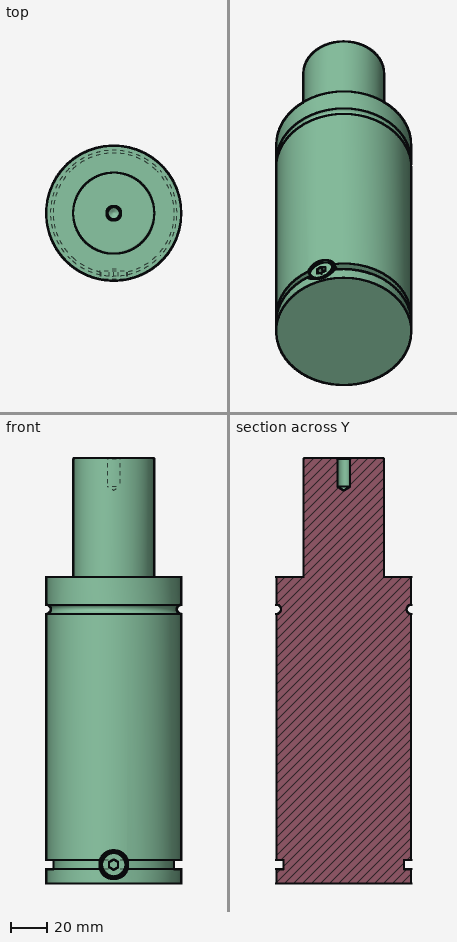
import cadquery as cq
import math

body_diameter = 75.0
body_height = 170.0
body_radius = body_diameter / 2

round_groove_radius = 2.5
round_groove_setback = 18.0
round_groove_z = body_height - round_groove_setback

square_groove_width = 5.0
square_groove_depth = 4.0
square_groove_z = 10.5

rod_diameter = 45.0
overall_height = 236.0
rod_end_fillet = 1.0

rod_hole_diameter = 6.8
rod_hole_mouth_diameter = 8.2
rod_hole_depth = 16.0
drill_point_angle = 118.0

port_recess_diameter = 16.0
port_recess_depth = 5.5
port_plug_diameter = 14.0
port_plug_setback = 0.5
port_plug_chamfer = 0.5
port_socket_across_flats = 5.0
port_socket_depth = 6.0
hexagon_sides = 6
hexagon_half_angle = 180.0 / hexagon_sides


def make_body():
    """Plain cylinder with its foot on the XY plane."""
    return cq.Workplane("XY").circle(body_radius).extrude(body_height)


def cut_round_groove(body):
    """Half-round groove, cut by a torus centred on the body surface."""
    ring = cq.Solid.makeTorus(body_radius, round_groove_radius, cq.Vector(0, 0, round_groove_z))
    return body.cut(cq.Workplane(obj=ring))


def cut_square_groove(body):
    """Rectangular groove running all the way round the foot."""
    ring = (
        cq.Workplane("XY", origin=(0, 0, square_groove_z - square_groove_width / 2))
        .circle(body_radius)
        .circle(body_radius - square_groove_depth)
        .extrude(square_groove_width)
    )
    return body.cut(ring)


def port_plane(distance):
    """Workplane facing -Y on the port axis, at a distance out from the body axis."""
    return cq.Workplane("XZ", origin=(0, -distance, square_groove_z))


def add_filling_port(body):
    """Round recess holding a chamfered plug with a hexagon socket, one corner pointing down."""
    recess_floor = body_radius - port_recess_depth
    plug_face = body_radius - port_plug_setback
    socket_floor = plug_face - port_socket_depth
    recess = port_plane(recess_floor).circle(port_recess_diameter / 2).extrude(port_recess_depth)
    plug = (
        port_plane(recess_floor)
        .circle(port_plug_diameter / 2)
        .extrude(plug_face - recess_floor)
        .faces("<Y")
        .chamfer(port_plug_chamfer)
    )
    across_corners = port_socket_across_flats / math.cos(math.radians(hexagon_half_angle))
    socket = (
        port_plane(socket_floor)
        .transformed(rotate=(0, 0, hexagon_half_angle))
        .polygon(hexagon_sides, across_corners)
        .extrude(port_socket_depth)
    )
    return body.cut(recess).union(plug).cut(socket)


def make_rod():
    """Piston rod standing on the body, rounded at its free end."""
    return (
        cq.Workplane("XY", origin=(0, 0, body_height))
        .circle(rod_diameter / 2)
        .extrude(overall_height - body_height)
        .faces(">Z")
        .fillet(rod_end_fillet)
    )


def make_rod_hole():
    """Drilled hole with a 45-degree countersunk mouth and a conical bottom."""
    hole_radius = rod_hole_diameter / 2
    mouth_radius = rod_hole_mouth_diameter / 2
    wall_bottom = overall_height - rod_hole_depth
    tip_depth = hole_radius / math.tan(math.radians(drill_point_angle / 2))
    return (
        cq.Workplane("XZ")
        .moveTo(0, overall_height)
        .lineTo(mouth_radius, overall_height)
        .lineTo(hole_radius, overall_height - (mouth_radius - hole_radius))
        .lineTo(hole_radius, wall_bottom)
        .lineTo(0, wall_bottom - tip_depth)
        .close()
        .revolve(360, (0, 0, 0), (0, 1, 0))
    )


body = make_body()
body = cut_round_groove(body)
body = cut_square_groove(body)
body = add_filling_port(body)
result = body.union(make_rod()).cut(make_rod_hole())